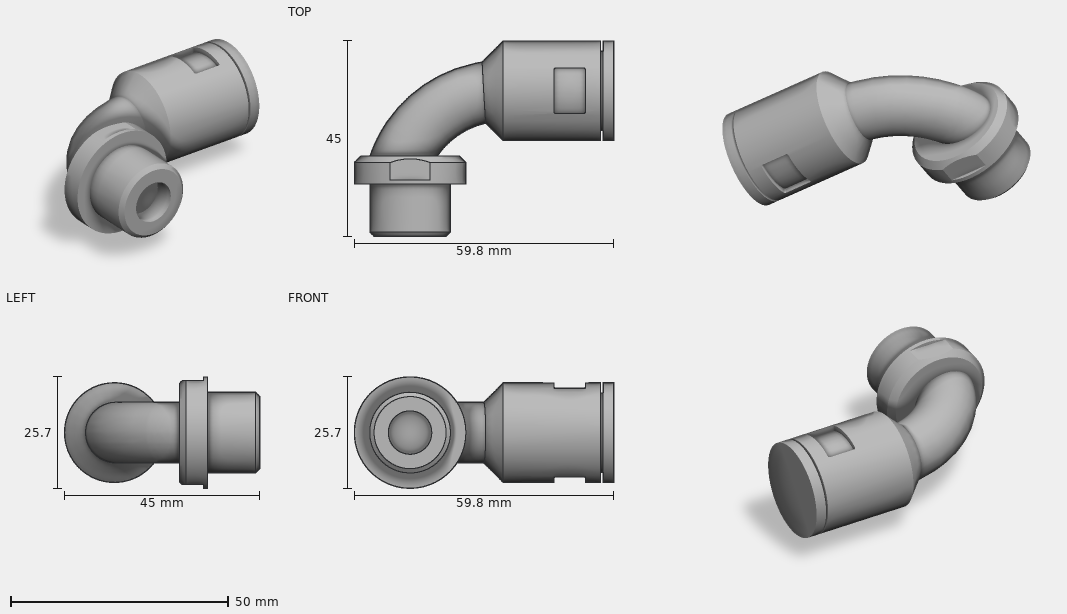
import cadquery as cq
import math

overall_x = 59.8
overall_y = 45.0

spigot_diameter = 18.6
spigot_length = 12.0
spigot_chamfer = 1.0
bore_diameter = 10.0
bore_depth = 5.0

flange_diameter = 25.7
flange_thickness = 6.5
flange_chamfer = 1.5
flats_width = 24.0
lip_thickness = 1.0

socket_diameter = 23.0
collar_length = 2.5
groove_diameter = 18.3
groove_width = 0.55
socket_length = 25.5
cone_tip_radius = 6.0

window_length = 7.2
window_width = 10.5
window_depth = 1.3
window_corner_radius = 0.4
window_to_end = 6.6

tube_radius = 7.0
bend_radius = 25.4
bend_start_angle = 16.0

socket_radius = socket_diameter / 2
socket_axis_y = overall_y - socket_radius
socket_end = overall_x - flange_diameter / 2
socket_start = socket_end - socket_length
bend_center_x = socket_start
bend_center_y = socket_axis_y - bend_radius


def cylinder_along_x(diameter, start, length):
    """Round bar on the socket axis."""
    plane = cq.Workplane("YZ", origin=(start, socket_axis_y, 0))
    return plane.circle(diameter / 2).extrude(length)


def cylinder_along_y(diameter, start, length):
    """Round bar on the spigot axis, growing toward +Y."""
    plane = cq.Workplane("XZ", origin=(0, start, 0))
    return plane.circle(diameter / 2).extrude(-length)


def make_spigot():
    spigot = cylinder_along_y(spigot_diameter, 0, spigot_length)
    return spigot.faces("<Y").chamfer(spigot_chamfer)


def make_flange():
    flange = cylinder_along_y(flange_diameter, spigot_length, flange_thickness)
    flange = flange.faces(">Y").chamfer(flange_chamfer)
    lip_top = spigot_length + lip_thickness
    between_flats = cq.Workplane("XY").box(flange_diameter, flange_thickness, flats_width)
    between_flats = between_flats.translate((0, lip_top + flange_thickness / 2, 0))
    lip = cylinder_along_y(flange_diameter, spigot_length, lip_thickness)
    return flange.intersect(between_flats).union(lip)


def make_bend():
    angle = math.radians(bend_start_angle)
    start_x = bend_center_x - bend_radius * math.cos(angle)
    start_y = bend_center_y + bend_radius * math.sin(angle)
    section = cq.Plane(
        origin=(start_x, start_y, 0),
        xDir=(math.cos(angle), -math.sin(angle), 0),
        normal=(math.sin(angle), math.cos(angle), 0),
    )
    sweep_angle = 90 - bend_start_angle
    axis_start = (bend_radius, 0)
    axis_end = (bend_radius, 1)
    return cq.Workplane(section).circle(tube_radius).revolve(sweep_angle, axis_start, axis_end)


def make_socket_body():
    """Cone, barrel, groove and collar turned about the socket axis."""
    cone_length = socket_radius - cone_tip_radius
    cone_tip = socket_start - cone_length
    groove_end = socket_end - collar_length
    groove_start = groove_end - groove_width
    groove_radius = groove_diameter / 2
    profile = [
        (cone_tip, 0),
        (cone_tip, cone_tip_radius),
        (socket_start, socket_radius),
        (groove_start, socket_radius),
        (groove_start, groove_radius),
        (groove_end, groove_radius),
        (groove_end, socket_radius),
        (socket_end, socket_radius),
        (socket_end, 0),
    ]
    plane = cq.Workplane("XY", origin=(0, socket_axis_y, 0))
    return plane.polyline(profile).close().revolve(360, (0, 0), (1, 0))


def make_window_cutter():
    """Rounded bar through the socket along Z, hollowed to leave round window floors."""
    window_center_x = socket_end - window_to_end - window_length / 2
    bar = cq.Workplane("XY").box(window_length, window_width, socket_diameter)
    bar = bar.edges("|Z").fillet(window_corner_radius)
    bar = bar.translate((window_center_x, socket_axis_y, 0))
    floor_diameter = socket_diameter - 2 * window_depth
    core = cylinder_along_x(floor_diameter, socket_start, socket_length)
    return bar.cut(core)


fitting = make_spigot().union(make_flange()).union(make_bend())
fitting = fitting.union(make_socket_body().cut(make_window_cutter()))
bore = cylinder_along_y(bore_diameter, 0, bore_depth)
result = fitting.cut(bore)